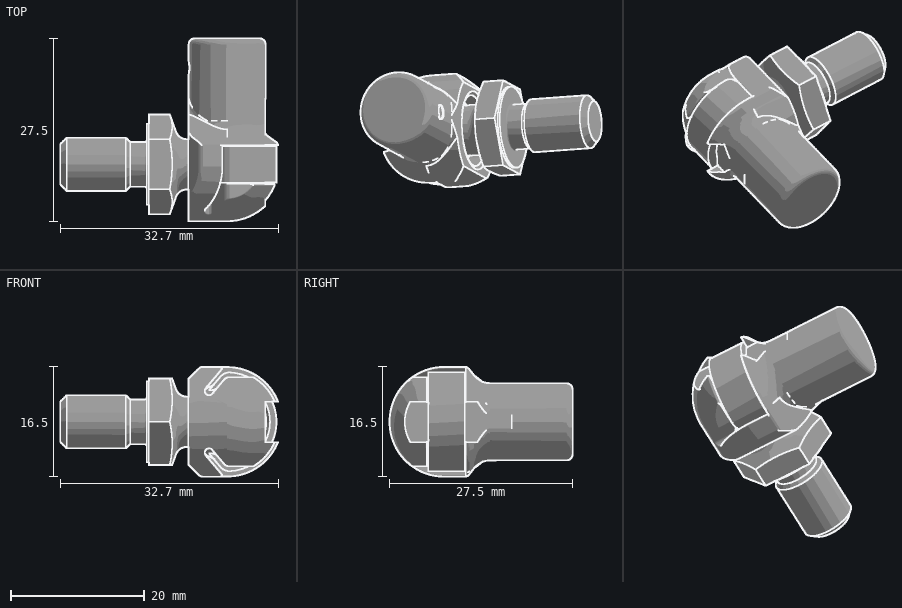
import cadquery as cq
import math


ball_radius = 5.88
stud_end_x = -25.03
thread_radius = 8.0 / 2
thread_chamfer = 0.98
thread_runout_x = -15.15
undercut_radius = 6.75 / 2
undercut_fillet = 0.23
washer_x = -12.05
washer_radius = 12.2 / 2
hex_x = -11.73
hex_flats = 13.0
hex_cone_x = -8.6
hex_cone_end_x = -7.68
hex_cone_end_radius = 4.9
neck_x = -6.08
neck_radius = 3.8

face_x = -5.8
head_radius = 8.25
head_y = -0.33
shank_radius = 11.6 / 2
shank_end_y = 18.9
shank_end_fillet = 0.98
apex_y = 9.5
point_y = 10.62
rim_corner_y = 3.15
rim_blend = 0.9
blend_edge_y = 6.55
blend_turn = math.radians(31)
blend_end_turn = math.radians(96)
sink_ratio = 1.4
flange_y = 2.87
face_chamfer = 1.83
opening_radius = 5.88
opening_throat_radius = 5.33
opening_depth = 0.33
dot_radius = 2.2 / 2
dot_y = 14.47
dot_depth = 0.2

dome_y = -2.95
dome_flat_z = 6.7
groove_floor_radius = 6.45
slot_angle = math.radians(50)
slot_length = 4.2
bend_x = 0.4
dome_bend_radius = 1.15
dome_edge_fillet = 0.2
band_half_width = 2.75
band_seat_chamfer = 0.55
band_outer_radius = 7.4
notch_x = 5.72
notch_half_height = 3.05

hex_corner_radius = hex_flats / math.sqrt(3)
roof_slope = math.atan2(head_radius, apex_y - rim_corner_y)
bend_z = dome_flat_z - dome_bend_radius
cutter_size = 4 * head_radius


def make_stud():
    """Threaded pin, hexagon collar, waisted neck and ball in one turned piece."""
    cone_slope = (hex_corner_radius - hex_cone_end_radius) / (hex_cone_end_x - hex_cone_x)
    cone_angle = math.atan(cone_slope)
    neck_drop = hex_cone_end_radius - neck_radius
    neck_arc_radius = neck_drop / (1 - math.cos(cone_angle))
    arc_mid_x = neck_x - neck_arc_radius * math.sin(cone_angle / 2)
    arc_mid_radius = neck_radius + neck_arc_radius * (1 - math.cos(cone_angle / 2))
    arc_start_x = neck_x - neck_arc_radius * math.sin(cone_angle)
    runout = thread_radius - undercut_radius
    body = (
        cq.Workplane("XY")
        .moveTo(stud_end_x, 0)
        .lineTo(stud_end_x, thread_radius - thread_chamfer)
        .lineTo(stud_end_x + thread_chamfer, thread_radius)
        .lineTo(thread_runout_x, thread_radius)
        .lineTo(thread_runout_x + runout, undercut_radius)
        .lineTo(washer_x - undercut_fillet, undercut_radius)
        .radiusArc((washer_x, undercut_radius + undercut_fillet), -undercut_fillet)
        .lineTo(washer_x, washer_radius)
        .lineTo(hex_x, washer_radius)
        .lineTo(hex_x, hex_corner_radius)
        .lineTo(hex_cone_x, hex_corner_radius)
        .lineTo(arc_start_x, hex_cone_end_radius)
        .threePointArc((arc_mid_x, arc_mid_radius), (neck_x, neck_radius))
        .lineTo(0, neck_radius)
        .lineTo(0, 0)
        .close()
        .revolve(360, (0, 0, 0), (1, 0, 0))
    )
    hexagon = (
        cq.Workplane("YZ", origin=(stud_end_x, 0, 0))
        .polygon(6, 2 * hex_corner_radius)
        .extrude(-stud_end_x)
    )
    return body.intersect(hexagon).union(cq.Workplane("XY").sphere(ball_radius))


def make_shank():
    """Round shank with a rounded end and a shallow round mark on its stud side."""
    shank = (
        cq.Workplane("XZ")
        .circle(shank_radius)
        .extrude(-shank_end_y)
        .faces(">Y")
        .edges()
        .fillet(shank_end_fillet)
    )
    mark = (
        cq.Workplane("YZ", origin=(-shank_radius - 0.33, dot_y, 0))
        .circle(dot_radius)
        .extrude(0.33 + dot_depth)
    )
    return shank.cut(mark)


def make_head_front():
    """Half of the head away from the stud: dome, straight rim and conical back."""
    half_space = cq.Workplane("XY").box(cutter_size, cutter_size, cutter_size)
    dome = cq.Workplane("XY").sphere(head_radius)
    dome = dome.intersect(half_space.translate((0, -cutter_size / 2, 0)))
    dome = dome.translate((0, head_y, 0))
    blend_radius = shank_blend_radius(0)
    blend_tangent = blend_radius * math.tan(roof_slope / 2)
    cone_end = (
        shank_radius + blend_tangent * math.sin(roof_slope),
        blend_edge_y - blend_tangent * (1 + math.cos(roof_slope)),
    )
    rim_tangent = rim_blend * math.tan(roof_slope / 2)
    rim_cone_end = (
        head_radius - rim_tangent * math.sin(roof_slope),
        rim_corner_y + rim_tangent * math.cos(roof_slope),
    )
    rim = (
        cq.Workplane("XY")
        .moveTo(0, head_y)
        .lineTo(head_radius, head_y)
        .lineTo(head_radius, rim_corner_y - rim_tangent)
        .radiusArc(rim_cone_end, -rim_blend)
        .lineTo(*cone_end)
        .radiusArc((shank_radius, blend_edge_y), blend_radius)
        .lineTo(0, blend_edge_y)
        .close()
        .revolve(360, (0, 0, 0), (0, 1, 0))
    )
    return dome.union(rim).intersect(half_space.translate((cutter_size / 2, 0, 0)))


def shank_blend_radius(angle):
    """Radius of the blend between roof and shank, at an angle round the shank from its top."""
    side_slope = (point_y - blend_edge_y) / (shank_radius * math.cos(blend_turn))
    edge_y = max(blend_edge_y, point_y - side_slope * shank_radius * math.cos(angle))
    across = math.cos(angle) * math.cos(roof_slope)
    return ((edge_y - apex_y) * math.sin(roof_slope) + shank_radius * across) / (1 - across)


def blend_section(angle):
    """Outline of the blend at one angle: concave arc outside, corner sunk in the body."""
    radius = shank_blend_radius(angle)
    shank_normal = cq.Vector(-math.sin(angle), 0, math.cos(angle))
    roof_normal = cq.Vector(0, math.sin(roof_slope), math.cos(roof_slope))
    reach = shank_radius + radius
    height = reach * math.cos(angle)
    centre_y = apex_y + (radius - height * math.cos(roof_slope)) / math.sin(roof_slope)
    centre = cq.Vector(-reach * math.sin(angle), centre_y, height)
    both = shank_normal + roof_normal
    on_shank = centre - shank_normal * radius
    on_roof = centre - roof_normal * radius
    on_arc = centre - both.normalized() * radius
    sunk = centre - both * (sink_ratio * radius)
    arc = cq.Edge.makeThreePointArc(on_shank, on_arc, on_roof)
    sides = [cq.Edge.makeLine(on_roof, sunk), cq.Edge.makeLine(sunk, on_shank)]
    return cq.Wire.assembleEdges([arc, *sides])


def make_blend(start, end):
    """Part of the blend between roof and shank from one angle to another."""
    steps = 4
    angles = [start + (end - start) * step / steps for step in range(steps + 1)]
    return cq.Workplane(cq.Solid.makeLoft([blend_section(angle) for angle in angles]))


def make_roof():
    """Upper roof plane on the stud side, up to the rim corner."""
    return (
        cq.Workplane("YZ", origin=(face_x, 0, 0))
        .polyline([(rim_corner_y, head_radius), (apex_y, 0), (head_y, 0), (head_y, head_radius)])
        .close()
        .extrude(-face_x)
    )


def make_face_chamfer():
    """Cutter for the sloped flat beside the stud-side face."""
    margin = 0.33
    reach = face_chamfer + margin
    return (
        cq.Workplane("XZ", origin=(0, apex_y, 0))
        .moveTo(face_x - margin, head_radius + margin)
        .lineTo(face_x + reach, head_radius + margin)
        .lineTo(face_x - margin, head_radius - reach)
        .close()
        .extrude(2 * apex_y)
    )


def make_head_back():
    """Half of the head on the stud side: round below, roof-shaped towards the shank."""
    size = 19.6
    barrel = (
        cq.Workplane("YZ", origin=(face_x, 0, 0))
        .center(head_y, 0)
        .circle(head_radius)
        .extrude(-face_x)
    )
    upper = cq.Workplane("XY").box(2 * size, 2 * size, size, centered=(True, True, False))
    half = barrel.intersect(upper).union(make_roof()).cut(make_face_chamfer())
    chamfer_x = face_x + face_chamfer
    rim_edge = cq.selectors.NearestToPointSelector((chamfer_x / 2, rim_corner_y, head_radius))
    side_edge = cq.selectors.NearestToPointSelector((chamfer_x, rim_corner_y / 2, head_radius))
    curve_z = head_radius - face_chamfer / 2
    curve_y = head_y - math.sqrt(head_radius**2 - curve_z**2)
    curve_edge = cq.selectors.NearestToPointSelector((face_x + face_chamfer / 2, curve_y, curve_z))
    half = half.edges(rim_edge + side_edge + curve_edge).fillet(rim_blend)
    keep = cq.Workplane("XY").box(-face_x, size, size, centered=False).translate((face_x, 0, 0))
    blend = make_blend(0, blend_turn).union(make_blend(blend_turn, blend_end_turn))
    half = half.union(blend.intersect(keep))
    return half.union(half.mirror("XY"))


def bend_end(radius):
    """Lower end of a bend about the common bend axis, where the slot direction begins."""
    return (bend_x - radius * math.sin(slot_angle), bend_z + radius * math.cos(slot_angle))


def bend_middle(radius):
    """Point half way round a bend about the common bend axis."""
    return (bend_x - radius * math.sin(slot_angle / 2), bend_z + radius * math.cos(slot_angle / 2))


def along_slot(point, length):
    """Point moved down the slot direction by the given length."""
    return (point[0] - length * math.cos(slot_angle), point[1] - length * math.sin(slot_angle))


def make_recess(back_y):
    """Cutter above the flat of the dome, ending in a round-ended sloping slot."""
    front_y = head_y - head_radius - 0.33
    inner_start = bend_end(dome_bend_radius)
    outer_start = (inner_start[0], head_radius)
    slot_width = (outer_start[1] - inner_start[1]) * math.cos(slot_angle)
    outer_end = along_slot(outer_start, slot_length)
    inner_end = (
        outer_end[0] + slot_width * math.sin(slot_angle),
        outer_end[1] - slot_width * math.cos(slot_angle),
    )
    middle = ((outer_end[0] + inner_end[0]) / 2, (outer_end[1] + inner_end[1]) / 2)
    tip = along_slot(middle, slot_width / 2)
    far = head_radius + 1.63
    return (
        cq.Workplane("XZ", origin=(0, back_y, 0))
        .moveTo(far, dome_flat_z)
        .lineTo(bend_x, dome_flat_z)
        .threePointArc(bend_middle(dome_bend_radius), inner_start)
        .lineTo(*inner_end)
        .threePointArc(tip, outer_end)
        .lineTo(*outer_start)
        .lineTo(outer_start[0], far)
        .lineTo(far, far)
        .close()
        .extrude(back_y - front_y)
    )


def make_ring(inner, outer, low_y, high_y, start_x):
    """Part of a ring about the Y axis that lies beyond a given X."""
    ring = cq.Workplane("XZ", origin=(0, high_y, 0)).circle(outer).circle(inner).extrude(high_y - low_y)
    keep = cq.Workplane("XY").box(cutter_size, cutter_size, cutter_size)
    return ring.intersect(keep.translate((start_x + cutter_size / 2, 0, 0)))


def make_band_leg():
    """Upper leg of the clip band, bending from the ring down into the slot."""
    outer_radius = math.sqrt(band_outer_radius**2 - bend_x**2) - bend_z
    outer_start = bend_end(outer_radius)
    inner_start = bend_end(0)
    return (
        cq.Workplane("XZ", origin=(0, band_half_width, 0))
        .moveTo(bend_x, bend_z)
        .lineTo(bend_x, bend_z + outer_radius)
        .threePointArc(bend_middle(outer_radius), outer_start)
        .lineTo(*along_slot(outer_start, slot_length))
        .lineTo(*along_slot(inner_start, slot_length))
        .close()
        .extrude(2 * band_half_width)
    )


def make_band():
    """Clip band: part ring with two legs that run down into the slots."""
    ring = make_ring(ball_radius, band_outer_radius, -band_half_width, band_half_width, bend_x)
    seat_edge = cq.selectors.RadiusNthSelector(0)
    ring = ring.faces("<Y").edges(seat_edge).chamfer(band_seat_chamfer)
    leg = make_band_leg()
    return ring.union(leg).union(leg.mirror("XY"))


def make_opening():
    """Stud opening through the stud-side face, with a wide flare at its mouth."""
    return (
        cq.Workplane("XZ", origin=(0, head_y, 0))
        .polyline([
            (face_x, 0),
            (face_x, opening_radius),
            (face_x + opening_depth, opening_throat_radius),
            (0, opening_throat_radius),
            (0, 0),
        ])
        .close()
        .revolve(360, (0, 0, 0), (1, 0, 0))
    )


def on_head(x, z):
    """Point on the outside of the head, on the side away from the shank."""
    beyond = max(x, 0)
    return (x, head_y - math.sqrt(head_radius**2 - beyond**2 - z**2), z)


def soften_dome(socket):
    """Round the edges where the recess and the groove meet the outside of the dome."""
    slot_start = bend_end(dome_bend_radius)
    rim_points = [
        on_head(head_radius / 4, dome_flat_z),
        on_head(bend_x / 2, dome_flat_z),
        on_head(slot_start[0] / 2, (dome_flat_z + slot_start[1]) / 2),
        on_head(*along_slot(slot_start, slot_length / 2)),
    ]
    edges = cq.selectors.NearestToPointSelector((head_radius, dome_y, 0))
    for x, y, z in rim_points:
        edges = edges + cq.selectors.NearestToPointSelector((x, y, z))
        edges = edges + cq.selectors.NearestToPointSelector((x, y, -z))
    return socket.edges(edges).fillet(dome_edge_fillet)


def make_socket():
    """Angled socket with shank, snap-in clip band, ball seat and stud opening."""
    socket = make_head_front().union(make_head_back()).union(make_shank())
    recess = make_recess(flange_y)
    socket = socket.cut(recess).cut(recess.mirror("XY"))
    socket = socket.cut(make_ring(groove_floor_radius, 2 * head_radius, dome_y, flange_y, 0))
    socket = soften_dome(socket)
    notch_size = 19.6
    notch = cq.Workplane("XY").box(notch_size, notch_size, 2 * notch_half_height)
    socket = socket.cut(notch.translate((notch_x + notch_size / 2, 0, 0)))
    socket = socket.union(make_band()).cut(make_opening())
    return socket.cut(cq.Workplane("XY").sphere(ball_radius))


stud = make_stud()
socket = make_socket()

result = cq.Compound.makeCompound([*stud.vals(), *socket.vals()])